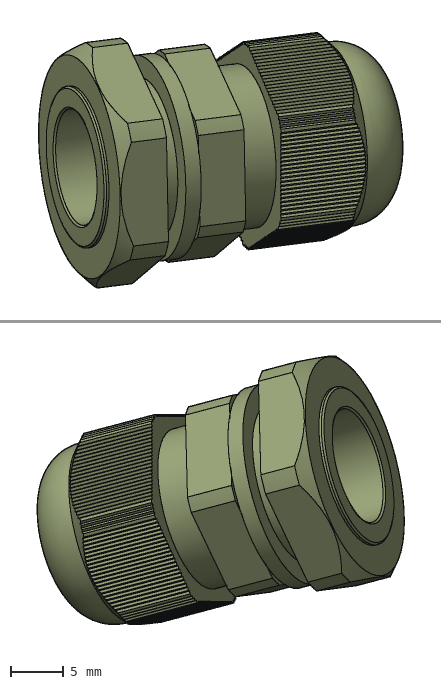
import cadquery as cq
import math

NUT_FACE = 0.45
NUT_BACK = 5.25
FLANGE_START = 7.5
FLANGE_END = 9.07
BODY_HEX_END = 13.75
CAP_START = 17.5
CAP_CONE_END = 26.5
DOME_BASE = 27.15
TOTAL_LENGTH = 31.5

THREAD_DIAMETER = 15.6
FLANGE_DIAMETER = 19.8
NECK_DIAMETER = 15.8
DOME_DIAMETER = 17.8
DOME_FILLET = TOTAL_LENGTH - DOME_BASE
BORE_DIAMETER = 11.2
BORE_DEPTH = 5.25
EDGE_CHAMFER = 0.2

HEX_TURN = 2.9
NUT_FLATS = 21.67
NUT_CORNERS = 24.0
NUT_CHAMFER = 1.23
BODY_FLATS = 18.7
BODY_CORNERS = 20.8
CAP_FLATS = 18.6
CAP_CORNERS = 20.65
CAP_CHAMFER = (CAP_CORNERS - DOME_DIAMETER) / 2

RECESS_ANGLE = 120 + HEX_TURN
RECESS_WIDTH = 8.15
RECESS_LENGTH = 3.53
RECESS_DEPTH = 0.3

GROOVE_PITCH = 0.4
GROOVE_DEPTH = GROOVE_PITCH / 2
GROOVES_PER_FLAT = 21
GROOVES_PER_CORNER = 3


def cylinder(diameter, start, end):
    """Cylinder about the Y axis between two stations."""
    return cq.Workplane("XZ", origin=(0, start, 0)).circle(diameter / 2).extrude(start - end)


def hexagon(flats, start, end):
    """Hexagonal prism about the Y axis with one flat facing +X turned by HEX_TURN."""
    prism = (
        cq.Workplane("XZ", origin=(0, start, 0))
        .polygon(6, flats, circumscribed=True)
        .extrude(start - end)
    )
    return prism.rotate((0, 0, 0), (0, -1, 0), HEX_TURN)


def make_nut():
    blank = cylinder(NUT_CORNERS, NUT_FACE, NUT_BACK).faces("<Y").chamfer(NUT_CHAMFER)
    return blank.intersect(hexagon(NUT_FLATS, NUT_FACE, NUT_BACK))


def make_body_hex():
    blank = cylinder(BODY_CORNERS, FLANGE_END, BODY_HEX_END)
    return blank.intersect(hexagon(BODY_FLATS, FLANGE_END, BODY_HEX_END))


def make_recess():
    """Cutter for the label recess."""
    floor = BODY_FLATS / 2 - RECESS_DEPTH
    middle = (FLANGE_END + BODY_HEX_END) / 2
    box = cq.Workplane("XY").box(
        2 * RECESS_DEPTH, RECESS_LENGTH, RECESS_WIDTH, centered=(False, True, True)
    )
    return box.translate((floor, middle, 0)).rotate((0, 0, 0), (0, -1, 0), RECESS_ANGLE)


def serrated_outline():
    """Points of the cap section, alternating tooth peaks and groove bottoms."""
    apothem = CAP_FLATS / 2
    radius = CAP_CORNERS / 2
    corner_step = GROOVE_PITCH / radius
    points = []
    for side in range(6):
        flat_angle = math.radians(60 * side)
        for i in range(2 * GROOVES_PER_FLAT + 1):
            across = (i - GROOVES_PER_FLAT) * GROOVE_PITCH / 2
            out = apothem - GROOVE_DEPTH * (i % 2)
            points.append((
                out * math.cos(flat_angle) - across * math.sin(flat_angle),
                out * math.sin(flat_angle) + across * math.cos(flat_angle),
            ))
        corner_angle = flat_angle + math.radians(30)
        for i in range(2 * GROOVES_PER_CORNER + 1):
            angle = corner_angle + (i - GROOVES_PER_CORNER) * corner_step / 2
            out = radius - GROOVE_DEPTH * (i % 2)
            points.append((out * math.cos(angle), out * math.sin(angle)))
    return points


def make_cap():
    grip = (
        cq.Workplane("XZ", origin=(0, CAP_START, 0))
        .polyline(serrated_outline())
        .close()
        .extrude(CAP_START - CAP_CONE_END)
    )
    envelope = cylinder(CAP_CORNERS, CAP_START, CAP_CONE_END).faces(">Y").chamfer(CAP_CHAMFER)
    dome = cylinder(DOME_DIAMETER, CAP_START, TOTAL_LENGTH).faces(">Y").edges().fillet(DOME_FILLET)
    return grip.intersect(envelope).union(dome)


def make_bore():
    """Cutter for the blind bore with its chamfered mouth."""
    mouth = cq.Solid.makeCone(
        BORE_DIAMETER / 2 + EDGE_CHAMFER, BORE_DIAMETER / 2, EDGE_CHAMFER,
        pnt=cq.Vector(0, 0, 0), dir=cq.Vector(0, 1, 0),
    )
    return cylinder(BORE_DIAMETER, 0, BORE_DEPTH).union(cq.Workplane(mouth))


thread = cylinder(THREAD_DIAMETER, 0, FLANGE_START).faces("<Y").chamfer(EDGE_CHAMFER)
flange = cylinder(FLANGE_DIAMETER, FLANGE_START, FLANGE_END)
neck = cylinder(NECK_DIAMETER, BODY_HEX_END, CAP_START)

result = (
    thread.union(make_nut())
    .union(flange)
    .union(make_body_hex())
    .union(neck)
    .union(make_cap())
    .cut(make_recess())
    .cut(make_bore())
)